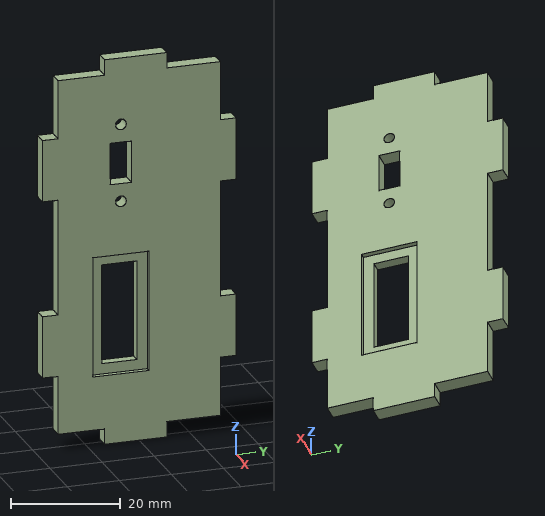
import cadquery as cq

THICKNESS = 3.0
OVERALL_WIDTH = 37.2
OVERALL_HEIGHT = 74.9

TAB_LENGTH = 12.0
TAB_DEPTH = THICKNESS
SIDE_TAB_Z = 17.15
END_TAB_Y = -0.7

OPENING_Y = -3.5
SWITCH_Z = 17.0
SWITCH_WIDTH = 4.05
SWITCH_HEIGHT = 8.0
SCREW_DIAMETER = 2.0
SCREW_SPACING = 15.0
WINDOW_Z = -12.4
WINDOW_WIDTH = 6.75
WINDOW_HEIGHT = 19.2

LIP_THICKNESS = 2.0
RECESS_MARGIN = 2.0

BODY_WIDTH = OVERALL_WIDTH - 2 * TAB_DEPTH
BODY_HEIGHT = OVERALL_HEIGHT - 2 * TAB_DEPTH


def block(width, height, y, z, start_x=0):
    """Rectangular block centred at (y, z), reaching from start_x to the +X face."""
    sketch_plane = cq.Workplane("YZ", origin=(start_x, y, z))
    return sketch_plane.rect(width, height).extrude(THICKNESS - start_x)


def tabbed_plate():
    """Rectangular body crossed by bars whose ends form the tabs."""
    plate = block(BODY_WIDTH, BODY_HEIGHT, 0, 0)
    plate = plate.union(block(TAB_LENGTH, OVERALL_HEIGHT, END_TAB_Y, 0))
    for side in (-1, 1):
        plate = plate.union(block(OVERALL_WIDTH, TAB_LENGTH, 0, side * SIDE_TAB_Z))
    return plate


def screw_holes():
    """Through holes above and below the switch opening."""
    offset = SCREW_SPACING / 2
    return (
        cq.Workplane("YZ")
        .center(OPENING_Y, SWITCH_Z)
        .pushPoints([(0, -offset), (0, offset)])
        .circle(SCREW_DIAMETER / 2)
        .extrude(THICKNESS)
    )


switch_opening = block(SWITCH_WIDTH, SWITCH_HEIGHT, OPENING_Y, SWITCH_Z)
window = block(WINDOW_WIDTH, WINDOW_HEIGHT, OPENING_Y, WINDOW_Z)
window_recess = block(
    WINDOW_WIDTH + 2 * RECESS_MARGIN,
    WINDOW_HEIGHT + 2 * RECESS_MARGIN,
    OPENING_Y,
    WINDOW_Z,
    start_x=LIP_THICKNESS,
)

result = tabbed_plate()
for opening in (switch_opening, screw_holes(), window, window_recess):
    result = result.cut(opening)
result = result.clean()